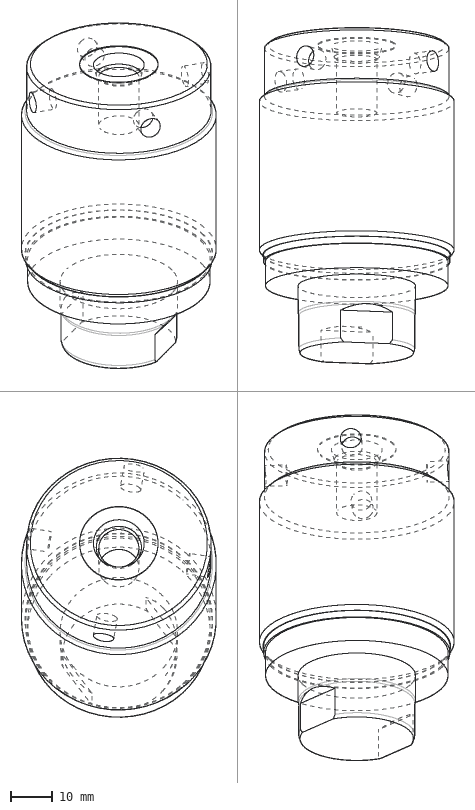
import cadquery as cq
import math

total_height = 76.3
body_diameter = 47.4
body_radius = body_diameter / 2
collar_radius = 22.45
groove_radius = 22.7
seat_radius = 22.8
flange_radius = 22.2
neck_radius = 14.3
stub_radius = 14.1

stub_chamfer_top = 1.0
stub_top = 9.2
neck_bottom = 9.9
flange_bottom = 16.65
flange_top = 22.7
body_bottom = 24.35
body_chamfer_top = 25.5
body_top_chamfer_bottom = 62.4
body_top = 63.2
collar_bottom = 63.6

stub_chamfer_width = 0.3
collar_chamfer_width = 0.9
collar_chamfer_height = 0.8

flat_distance = 12.6
flat_height = 7.9

recess_radius = 9.55
recess_depth = 0.2
bore_mouth_radius = 6.2
bore_step_radius = 5.5
bore_radius = 4.9
bore_step_depth = 2.9
bore_cone_depth = bore_step_depth + bore_step_radius - bore_radius
bore_depth = 16.8

spanner_hole_count = 4
spanner_hole_diameter = 5.0
spanner_hole_depth = 5.35
spanner_hole_height = 69.85
first_spanner_hole_angle = 45


def revolve_profile(points):
    """Revolve a closed (radius, height) outline about the Z axis."""
    return cq.Workplane("XZ").polyline(points).close().revolve(360, (0, 0), (0, 1))


def make_body():
    return revolve_profile([
        (0, 0),
        (stub_radius - stub_chamfer_width, 0),
        (stub_radius, stub_chamfer_top),
        (stub_radius, stub_top),
        (neck_radius, neck_bottom),
        (neck_radius, flange_bottom),
        (flange_radius, flange_bottom),
        (flange_radius, flange_top),
        (groove_radius, flange_top),
        (groove_radius, body_bottom),
        (seat_radius, body_bottom),
        (body_radius, body_chamfer_top),
        (body_radius, body_top_chamfer_bottom),
        (seat_radius, body_top),
        (collar_radius, collar_bottom),
        (collar_radius, total_height - collar_chamfer_height),
        (collar_radius - collar_chamfer_width, total_height),
        (0, total_height),
    ])


def make_bore():
    return revolve_profile([
        (0, total_height),
        (recess_radius, total_height),
        (recess_radius, total_height - recess_depth),
        (bore_mouth_radius, total_height - recess_depth),
        (bore_step_radius, total_height - bore_step_depth),
        (bore_radius, total_height - bore_cone_depth),
        (bore_radius, total_height - bore_depth),
        (0, total_height - bore_depth),
    ])


def make_flat_cutter(side):
    """Cutter for one wrench flat, with a 45 degree run-out at its upper end."""
    runout = neck_radius - flat_distance
    return (
        cq.Workplane("XZ")
        .moveTo(side * flat_distance, 0)
        .lineTo(side * flat_distance, flat_height)
        .lineTo(side * neck_radius, flat_height + runout)
        .lineTo(side * neck_radius, 0)
        .close()
        .extrude(neck_radius, both=True)
    )


def make_spanner_hole(angle):
    """Radial blind hole in the collar, at an angle in degrees from +X."""
    direction = cq.Vector(math.cos(math.radians(angle)), math.sin(math.radians(angle)), 0)
    floor = direction * (collar_radius - spanner_hole_depth) + cq.Vector(0, 0, spanner_hole_height)
    length = spanner_hole_depth + body_radius - collar_radius
    return cq.Solid.makeCylinder(spanner_hole_diameter / 2, length, floor, direction)


result = make_body().cut(make_bore())
for side in (-1, 1):
    result = result.cut(make_flat_cutter(side))
for index in range(spanner_hole_count):
    result = result.cut(make_spanner_hole(first_spanner_hole_angle + index * 360 / spanner_hole_count))